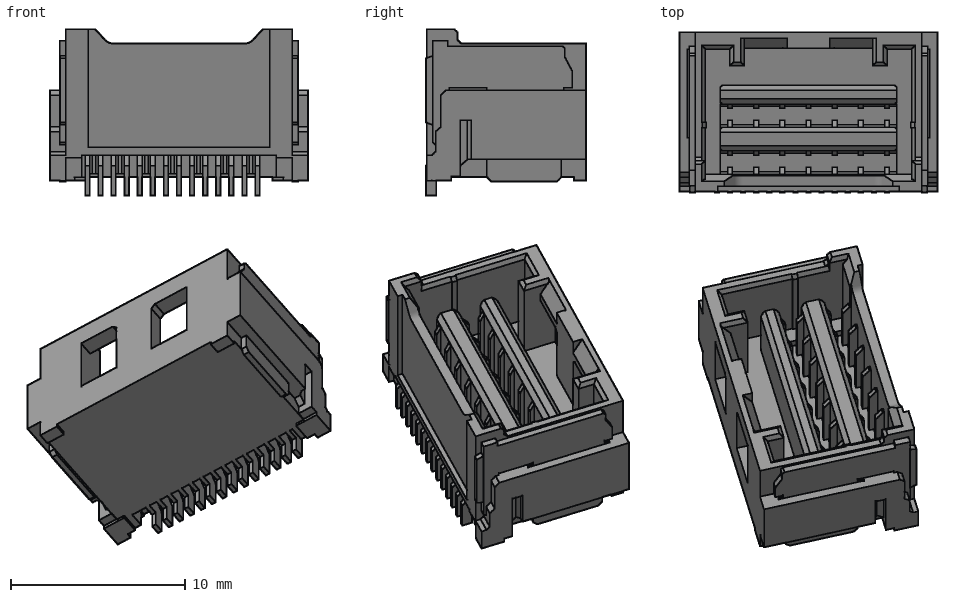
import cadquery as cq


HALF_WIDTH = 6.5
DEPTH = 9.15
STANDOFF = 0.2
RIM_Z = 7.88
FRONT_RIM_Z = 8.7
FRONT_RIM_DEPTH = 1.78
RIM_CHAMFER = 0.2

CAVITY_HALF = 5.91
CAVITY_BACK = 8.17
CAVITY_FRONT = 1.0
FLOOR_Z = 2.5
LEAD_IN = 0.22
FRONT_LEAD_IN_Y = 0.4
FRONT_LEAD_IN_Z = 0.64
THIN_WALL_BACK = 0.9
THIN_WALL_HALF = 4.37
WALL_RIB_Y = 3.65
WALL_RIB_WIDTH = 0.33
WALL_RIB_HEIGHT = 0.05

RIB_INNER = 3.67
RIB_OUTER = 4.51
RIB_FRONT = 7.21
REAR_WALL_FRONT = 8.23
LATCH_RAMP_BACK = 8.8
LATCH_RAMP_DROP = 0.93
CENTRE_POST_HALF = 1.22
WINDOW_TOP = 6.4
WINDOW_CORNER = 0.25

PANEL_HALF = 5.2
PANEL_BOTTOM = 1.93
PANEL_RECESS = 0.3
NOTCH_TOP_HALF = 4.82
NOTCH_FLOOR_HALF = 4.05
NOTCH_FILLET = 0.6
PIN_BAY_HALF = 5.57
PIN_BAY_TOP = 1.47
PIN_BAY_DEPTH = 1.2

TONGUE_HALF = 5.07
TONGUE_TOP = 6.27
TONGUE_BEVEL = 0.3
TONGUE_CORNER = 0.13
SLOT_ROOT_BEVEL = 0.13
SLOT_FLOOR = 2.0
REAR_TONGUE = (5.02, 6.1)
FRONT_TONGUE = (2.33, 3.7)
CONTACT_COUNT = 7
CONTACT_PITCH = 1.5
CONTACT_WIDTH = 0.27
CONTACT_TOP = 5.85
CONTACT_RAMP = 0.5
FRONT_CONTACT_REACH = 0.25
BACK_CONTACT_REACH = 0.4

WING_OUTER = 7.4
WING_TOP = 5.19
WING_STEP_Y = 0.82
WING_STEP_Z = 3.09
WING_TOE_Y = 0.51
WING_TOE_TOP = 1.47
WING_CHAMFER = 0.28
WING_UNDERSIDE = 1.22
WING_BOTTOM = 0.25
FRONT_FOOT_DEPTH = 1.42
REAR_FOOT_Y = 8.44
FOOT_INNER = 5.35
FOOT_MIDDLE = 5.98
FRONT_BLOCK_TOP = 1.32
FRONT_BLOCK_SETBACK = 0.3
GROOVE_FRONT = 1.92
GROOVE_STEP = 2.34
GROOVE_BACK = 2.55
GROOVE_TOP = 3.46
GROOVE_LIP_Z = 0.85
GROOVE_WALL_INNER = 7.12

CLIP_OUTER = 6.85
CLIP_FRONT = 0.35
CLIP_TOP = 8.03
CLIP_SHOULDER = 7.72
CLIP_HORN_BACK = 1.22
CLIP_NECK_BACK = 7.93
CLIP_NECK_BOTTOM = 7.08
CLIP_HEEL_BACK = 8.34
CLIP_HEEL_TOP = 6.3
CLIP_STEM_BACK = 7.87
CLIP_GAP_FRONT = 1.31
CLIP_CORNER = 0.14
CLIP_EDGE = 5.33
CLIP_BOTTOM = 2.07
CLIP_SLOT = (3.08, 8.15)
CLIP_SLOT_GAP = 0.1
CLIP_SLOT_DEPTH = 0.3
FLANGE_OUTER = 6.8
FLANGE_BOTTOM = 3.2
FLANGE_TOP = 7.16
FLANGE_BEVEL = 0.14
TAB_FRONT = 3.45
TAB_BACK = 7.72
TAB_BOTTOM = -0.05
TAB_CHAMFER = 0.25

PIN_COUNT = 14
PIN_PITCH = 0.75
PIN_WIDTH = 0.27
PIN_ROW_SHIFT = -PIN_PITCH / 2
PIN_FRONT = -0.05
PIN_BOTTOM = -0.85
PIN_SHOULDER = 0.87
PIN_BACK = 0.56
POCKET_BOTTOM = 0.4
POCKET_DEPTH = 0.3
POCKET_RIB_WIDTH = 0.2
POCKET_RIB_SETBACK = 0.1

OVERCUT = 1.0


def box(x_range, y_range, z_range):
    size = [high - low for low, high in (x_range, y_range, z_range)]
    corner = (x_range[0], y_range[0], z_range[0])
    return cq.Workplane("XY").box(*size, centered=False).translate(corner)


def side_profile(points, x_range):
    """Extrude an outline of (y, z) points between two X positions."""
    plane = cq.Workplane("YZ", origin=(x_range[0], 0, 0))
    return plane.polyline(points).close().extrude(x_range[1] - x_range[0])


def both_sides(solid):
    return solid.union(solid.mirror("YZ"))


def spaced(count, pitch):
    return [(i - (count - 1) / 2) * pitch for i in range(count)]


def housing_block():
    step = RIM_CHAMFER
    outline = [
        (0, STANDOFF),
        (DEPTH, STANDOFF),
        (DEPTH, RIM_Z),
        (FRONT_RIM_DEPTH + step, RIM_Z),
        (FRONT_RIM_DEPTH, RIM_Z + step),
        (FRONT_RIM_DEPTH, FRONT_RIM_Z - step),
        (FRONT_RIM_DEPTH - step, FRONT_RIM_Z),
        (0, FRONT_RIM_Z),
    ]
    return side_profile(outline, (-HALF_WIDTH, HALF_WIDTH))


def cavity_outline(grow):
    """Cavity plan around the two rear guide ribs, enlarged by grow."""
    right_half = [
        (CAVITY_HALF + grow, CAVITY_FRONT),
        (CAVITY_HALF + grow, CAVITY_BACK + grow),
        (RIB_OUTER - grow, CAVITY_BACK + grow),
        (RIB_OUTER - grow, RIB_FRONT + grow),
        (RIB_INNER + grow, RIB_FRONT + grow),
        (RIB_INNER + grow, REAR_WALL_FRONT),
    ]
    left_half = [(-x, y) for x, y in reversed(right_half)]
    return right_half + left_half


def cavity():
    height = FRONT_RIM_Z + OVERCUT - FLOOR_Z
    well = cq.Workplane("XY", origin=(0, 0, FLOOR_Z))
    well = well.polyline(cavity_outline(0)).close().extrude(height)
    thin_wall_relief = box(
        (-THIN_WALL_HALF, THIN_WALL_HALF),
        (THIN_WALL_BACK, CAVITY_FRONT),
        (FLOOR_Z, FRONT_RIM_Z),
    )
    return well.union(thin_wall_relief)


def rim_lead_in():
    """45 degree lead-in around the cavity mouth, stepping up at the front rim."""
    lower = RIM_Z - LEAD_IN
    mouth = cq.Workplane("XY", origin=(0, 0, lower)).polyline(cavity_outline(0)).close()
    mouth = mouth.workplane(offset=LEAD_IN).polyline(cavity_outline(LEAD_IN)).close()
    mouth = mouth.loft(ruled=True)
    above = cq.Workplane("XY", origin=(0, 0, RIM_Z)).polyline(cavity_outline(LEAD_IN))
    mouth = mouth.union(above.close().extrude(OVERCUT))
    rear_zone = box(
        (-HALF_WIDTH, HALF_WIDTH),
        (FRONT_RIM_DEPTH, DEPTH),
        (FLOOR_Z, FRONT_RIM_Z + OVERCUT),
    )
    mouth = mouth.intersect(rear_zone)

    raised = cq.Workplane("XZ", origin=(0, CAVITY_FRONT - FRONT_LEAD_IN_Y, 0))
    raised = raised.polyline([
        (-CAVITY_HALF, FRONT_RIM_Z - LEAD_IN),
        (-CAVITY_HALF - LEAD_IN, FRONT_RIM_Z),
        (CAVITY_HALF + LEAD_IN, FRONT_RIM_Z),
        (CAVITY_HALF, FRONT_RIM_Z - LEAD_IN),
    ]).close().extrude(-(FRONT_RIM_DEPTH - CAVITY_FRONT + FRONT_LEAD_IN_Y))
    front_slope = [
        (CAVITY_FRONT - FRONT_LEAD_IN_Y, FRONT_RIM_Z),
        (CAVITY_FRONT, FRONT_RIM_Z - FRONT_LEAD_IN_Z),
        (FRONT_RIM_DEPTH, FRONT_RIM_Z - FRONT_LEAD_IN_Z),
        (FRONT_RIM_DEPTH, FRONT_RIM_Z),
    ]
    outer = CAVITY_HALF + LEAD_IN
    raised = raised.intersect(side_profile(front_slope, (-outer, outer)))
    slope = side_profile(front_slope, (-CAVITY_HALF, CAVITY_HALF))
    return mouth.union(raised).union(slope)


def latch_openings():
    """Ramp over each latch beam, its bevelled end by the rib, and the window below."""
    span = (CENTRE_POST_HALF, RIB_INNER)
    ramp = side_profile([
        (REAR_WALL_FRONT, RIM_Z),
        (LATCH_RAMP_BACK, RIM_Z),
        (REAR_WALL_FRONT, RIM_Z - LATCH_RAMP_DROP),
    ], span)
    end_bevel = cq.Workplane("XZ", origin=(0, REAR_WALL_FRONT, 0)).polyline([
        (RIB_INNER, RIM_Z - LEAD_IN),
        (RIB_INNER + LEAD_IN, RIM_Z),
        (RIB_INNER, RIM_Z),
    ]).close().extrude(REAR_WALL_FRONT - LATCH_RAMP_BACK)
    window = box(span, (REAR_WALL_FRONT, DEPTH), (FLOOR_Z, WINDOW_TOP))
    window = window.edges("|Y and <X and >Z").chamfer(WINDOW_CORNER)
    return both_sides(ramp.union(end_bevel).union(window))


def front_panel_recess():
    return box(
        (-PANEL_HALF, PANEL_HALF),
        (0, PANEL_RECESS),
        (PANEL_BOTTOM, FRONT_RIM_Z),
    )


def front_notch():
    outline = [
        (-NOTCH_TOP_HALF, FRONT_RIM_Z),
        (-NOTCH_FLOOR_HALF, RIM_Z),
        (NOTCH_FLOOR_HALF, RIM_Z),
        (NOTCH_TOP_HALF, FRONT_RIM_Z),
    ]
    notch = cq.Workplane("XZ").polyline(outline).close().extrude(-CAVITY_FRONT)
    return notch.edges("|Y and <Z").fillet(NOTCH_FILLET)


def contact_slot(front, back):
    """Slot between two contact walls, bevelled along both bottom edges."""
    slot = box((-TONGUE_HALF, TONGUE_HALF), (front, back), (SLOT_FLOOR, FLOOR_Z))
    return slot.edges("|X and <Z").chamfer(SLOT_ROOT_BEVEL)


def tongue(front, back):
    block = box((-TONGUE_HALF, TONGUE_HALF), (front, back), (FLOOR_Z, TONGUE_TOP))
    block = block.edges("|Z").chamfer(TONGUE_CORNER)
    shoulder = TONGUE_TOP - TONGUE_BEVEL
    crown = side_profile([
        (front, FLOOR_Z),
        (back, FLOOR_Z),
        (back, shoulder),
        (back - TONGUE_BEVEL, TONGUE_TOP),
        (front + TONGUE_BEVEL, TONGUE_TOP),
        (front, shoulder),
    ], (-TONGUE_HALF, TONGUE_HALF))
    return block.intersect(crown)


def contact_row(face_y, reach):
    """Contacts standing out from a slot wall; the sign of reach is their direction."""
    root_y = face_y - reach
    tip_y = face_y + reach
    outline = [
        (root_y, SLOT_FLOOR),
        (tip_y, SLOT_FLOOR),
        (tip_y, CONTACT_TOP - CONTACT_RAMP),
        (face_y, CONTACT_TOP),
        (root_y, CONTACT_TOP),
    ]
    row = cq.Workplane("XY")
    for x in spaced(CONTACT_COUNT, CONTACT_PITCH):
        row = row.add(side_profile(outline, (x - CONTACT_WIDTH / 2, x + CONTACT_WIDTH / 2)))
    return row.combine()


def wall_ribs():
    rib = box(
        (CAVITY_HALF - WALL_RIB_HEIGHT, CAVITY_HALF + LEAD_IN),
        (WALL_RIB_Y, WALL_RIB_Y + WALL_RIB_WIDTH),
        (FLOOR_Z, RIM_Z),
    )
    return both_sides(rib.edges("|Y and <X and >Z").chamfer(LEAD_IN))


def wing():
    chamfer = WING_CHAMFER
    outline = [
        (0, 0),
        (FRONT_FOOT_DEPTH, 0),
        (FRONT_FOOT_DEPTH, WING_BOTTOM),
        (REAR_FOOT_Y, WING_BOTTOM),
        (REAR_FOOT_Y, WING_UNDERSIDE),
        (DEPTH, WING_UNDERSIDE),
        (DEPTH, WING_TOP),
        (WING_STEP_Y + chamfer, WING_TOP),
        (WING_STEP_Y, WING_TOP - chamfer),
        (WING_STEP_Y, WING_STEP_Z),
        (WING_TOE_Y, WING_STEP_Z - chamfer),
        (WING_TOE_Y, WING_TOE_TOP + RIM_CHAMFER),
        (WING_TOE_Y - RIM_CHAMFER, WING_TOE_TOP),
        (0, WING_TOE_TOP),
    ]
    body = side_profile(outline, (HALF_WIDTH, WING_OUTER))

    undercut = side_profile([
        (GROOVE_FRONT, 0),
        (DEPTH, 0),
        (DEPTH, WING_UNDERSIDE),
        (GROOVE_STEP, WING_UNDERSIDE),
        (GROOVE_FRONT, GROOVE_LIP_Z),
    ], (HALF_WIDTH, WING_OUTER))

    groove_floor = GROOVE_WALL_INNER - (GROOVE_BACK - GROOVE_STEP)
    groove = cq.Workplane("XY").polyline([
        (WING_OUTER, GROOVE_FRONT),
        (groove_floor, GROOVE_FRONT),
        (groove_floor, GROOVE_STEP),
        (GROOVE_WALL_INNER, GROOVE_BACK),
        (WING_OUTER, GROOVE_BACK),
    ]).close().extrude(GROOVE_TOP)

    clip_slot = box(
        (CLIP_OUTER, CLIP_OUTER + CLIP_SLOT_GAP),
        CLIP_SLOT,
        (WING_TOP - CLIP_SLOT_DEPTH, WING_TOP),
    )
    return body.cut(undercut).cut(groove).cut(clip_slot)


def feet():
    rear_foot = box((FOOT_INNER, HALF_WIDTH), (REAR_FOOT_Y, DEPTH), (0, STANDOFF))
    front_foot = box(
        (FOOT_MIDDLE, HALF_WIDTH),
        (FRONT_BLOCK_SETBACK, FRONT_FOOT_DEPTH),
        (0, STANDOFF),
    )
    return rear_foot.union(front_foot)


def clip():
    """Hold-down plate with a front flange and a solder tab."""
    thickness = (HALF_WIDTH, CLIP_OUTER)
    plate = side_profile([
        (CLIP_FRONT + CLIP_CORNER, CLIP_BOTTOM),
        (CLIP_FRONT, CLIP_BOTTOM + CLIP_CORNER),
        (CLIP_FRONT, CLIP_TOP),
        (CLIP_HORN_BACK, CLIP_TOP),
        (CLIP_HORN_BACK, CLIP_SHOULDER),
        (CLIP_NECK_BACK - CLIP_CORNER, CLIP_SHOULDER),
        (CLIP_NECK_BACK, CLIP_SHOULDER - CLIP_CORNER),
        (CLIP_NECK_BACK, CLIP_NECK_BOTTOM),
        (CLIP_HEEL_BACK, CLIP_HEEL_TOP),
        (CLIP_HEEL_BACK, CLIP_EDGE),
        (CLIP_STEM_BACK, CLIP_EDGE),
        (CLIP_STEM_BACK, CLIP_BOTTOM),
    ], thickness)
    edge_gap = box(thickness, (CLIP_GAP_FRONT, TAB_FRONT), (WING_TOP, CLIP_EDGE))

    flange = side_profile([
        (CLIP_FRONT, FLANGE_BOTTOM),
        (CLIP_FRONT, FLANGE_TOP),
        (PIN_FRONT, FLANGE_TOP - FLANGE_BEVEL),
        (PIN_FRONT, FLANGE_BOTTOM + FLANGE_BEVEL),
    ], (HALF_WIDTH, FLANGE_OUTER))

    tab = box(thickness, (TAB_FRONT, TAB_BACK), (TAB_BOTTOM, WING_UNDERSIDE))
    tab = tab.edges("|X and <Z").chamfer(TAB_CHAMFER)
    return plate.cut(edge_gap).union(flange).union(tab)


def pin_bay():
    bay = box(
        (-PIN_BAY_HALF, PIN_BAY_HALF),
        (0, PIN_BAY_DEPTH),
        (STANDOFF, PIN_BAY_TOP),
    )
    corner = box(
        (PIN_BAY_HALF, HALF_WIDTH),
        (0, FRONT_BLOCK_SETBACK),
        (STANDOFF, FRONT_BLOCK_TOP),
    )
    return bay.union(both_sides(corner))


def pin_positions():
    return [x + PIN_ROW_SHIFT for x in spaced(PIN_COUNT, PIN_PITCH)]


def pins():
    outline = [
        (PIN_FRONT, PIN_BOTTOM),
        (PIN_BACK, PIN_BOTTOM),
        (PIN_BACK, STANDOFF),
        (PIN_BAY_DEPTH, STANDOFF),
        (PIN_BAY_DEPTH, PIN_BAY_TOP),
        (PIN_BACK, PIN_BAY_TOP),
        (PIN_FRONT, PIN_SHOULDER),
    ]
    row = cq.Workplane("XY")
    for x in pin_positions():
        row = row.add(side_profile(outline, (x - PIN_WIDTH / 2, x + PIN_WIDTH / 2)))
    return row.combine()


def pin_pair_pockets():
    """Ribbed pocket in the bay wall between the two pins of each pair."""
    pocket_back = PIN_BAY_DEPTH + POCKET_DEPTH
    height = (POCKET_BOTTOM, PIN_BAY_TOP)
    half_rib = POCKET_RIB_WIDTH / 2
    xs = pin_positions()
    pockets = cq.Workplane("XY")
    for left, right in zip(xs[::2], xs[1::2]):
        middle = (left + right) / 2
        width = (left + PIN_WIDTH / 2, right - PIN_WIDTH / 2)
        pocket = box(width, (PIN_BAY_DEPTH, pocket_back), height)
        rib_front = PIN_BAY_DEPTH + POCKET_RIB_SETBACK
        rib = box((middle - half_rib, middle + half_rib), (rib_front, pocket_back), height)
        pockets = pockets.add(pocket.cut(rib))
    return pockets.combine()


shell = housing_block()
for cutter in (
    cavity(),
    rim_lead_in(),
    latch_openings(),
    front_panel_recess(),
    front_notch(),
    contact_slot(CAVITY_FRONT, FRONT_TONGUE[0]),
    contact_slot(FRONT_TONGUE[1], REAR_TONGUE[0]),
    pin_bay(),
    pin_pair_pockets(),
):
    shell = shell.cut(cutter)

inside = tongue(*REAR_TONGUE)
inside = inside.union(tongue(*FRONT_TONGUE))
for face_y, reach in (
    (REAR_TONGUE[0], -FRONT_CONTACT_REACH),
    (FRONT_TONGUE[1], BACK_CONTACT_REACH),
    (FRONT_TONGUE[0], -FRONT_CONTACT_REACH),
    (CAVITY_FRONT, BACK_CONTACT_REACH),
):
    inside = inside.union(contact_row(face_y, reach))

result = shell.union(inside).union(wall_ribs())
result = result.union(both_sides(wing()))
result = result.union(both_sides(feet()))
result = result.union(both_sides(clip()))
result = result.union(pins())